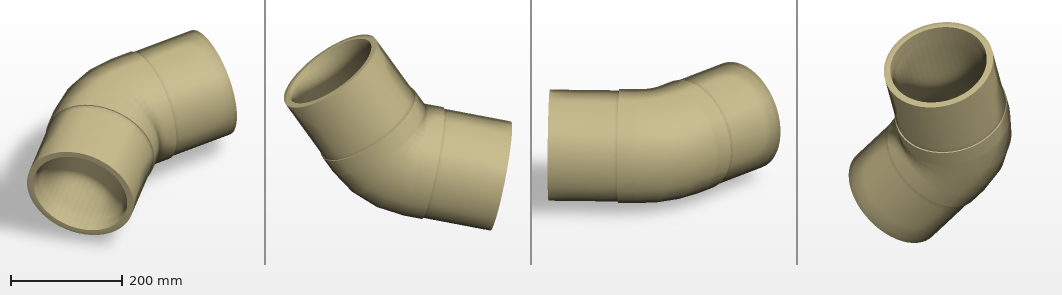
import cadquery as cq
import math

pipe_diameter = 200.0
bend_diameter = 205.0
bore_diameter = 176.5
outer_bend_radius = 102.5
bore_bend_radius = 88.5
bend_angle = 45
spigot_length = 125.0
collar_length = 33.5

half_angle = math.radians(bend_angle / 2)
outer_leg_length = spigot_length + collar_length
corner_y = outer_leg_length + outer_bend_radius * math.tan(half_angle)
bore_leg_length = corner_y - bore_bend_radius * math.tan(half_angle)


def straight_run(diameter, length):
    """Cylinder along +Y, starting at the open end of the lower leg."""
    return cq.Workplane("XZ").circle(diameter / 2).extrude(-length)


def bend_run(diameter, bend_radius, start_y):
    """Bend turning from +Y towards +X."""
    return (
        cq.Workplane("XZ", origin=(0, start_y, 0))
        .circle(diameter / 2)
        .revolve(bend_angle, (bend_radius, 0, 0), (bend_radius, -1, 0))
    )


def to_upper_leg(lower_leg):
    """Mirror a lower leg across the plane that halves the bend."""
    plane_normal = cq.Vector(math.sin(half_angle), math.cos(half_angle), 0)
    return lower_leg.mirror(plane_normal, (0, corner_y, 0))


def elbow(leg, bend):
    """Join a bend to its lower leg and the matching upper leg."""
    return bend.union(leg).union(to_upper_leg(leg))


collar = straight_run(bend_diameter, collar_length).translate((0, spigot_length, 0))
outer_leg = straight_run(pipe_diameter, spigot_length).union(collar)
outer_bend = bend_run(bend_diameter, outer_bend_radius, outer_leg_length)
body = elbow(outer_leg, outer_bend)

bore_leg = straight_run(bore_diameter, bore_leg_length)
bore_bend = bend_run(bore_diameter, bore_bend_radius, bore_leg_length)
bore = elbow(bore_leg, bore_bend)

result = body.cut(bore)